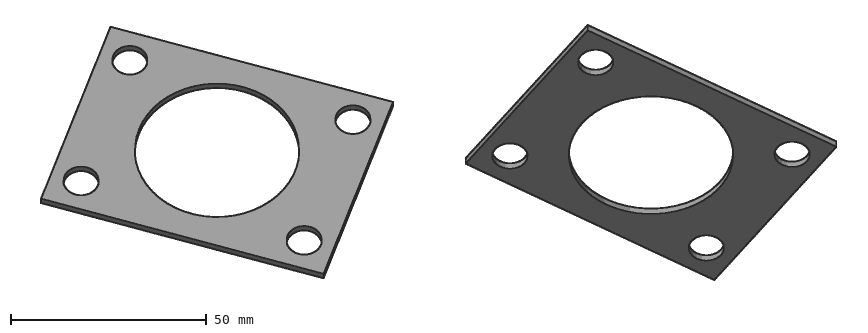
import cadquery as cq

plate_length = 76.0
plate_width = 57.0
plate_thickness = 2.0

bore_diameter = 42.0
mounting_hole_diameter = 9.0
mounting_hole_spacing_x = 60.0
mounting_hole_spacing_y = 40.0


def make_plate():
    """Plain plate resting on the XY plane."""
    return cq.Workplane("XY").box(
        plate_length, plate_width, plate_thickness, centered=(True, True, False)
    )


def cut_bore(body):
    """Through bore at the plate centre."""
    return body.faces(">Z").workplane(origin=(0, 0, 0)).hole(bore_diameter)


def cut_mounting_holes(body):
    """One through hole near each corner."""
    return (
        body.faces(">Z")
        .workplane(origin=(0, 0, 0))
        .rect(mounting_hole_spacing_x, mounting_hole_spacing_y, forConstruction=True)
        .vertices()
        .hole(mounting_hole_diameter)
    )


result = cut_mounting_holes(cut_bore(make_plate()))